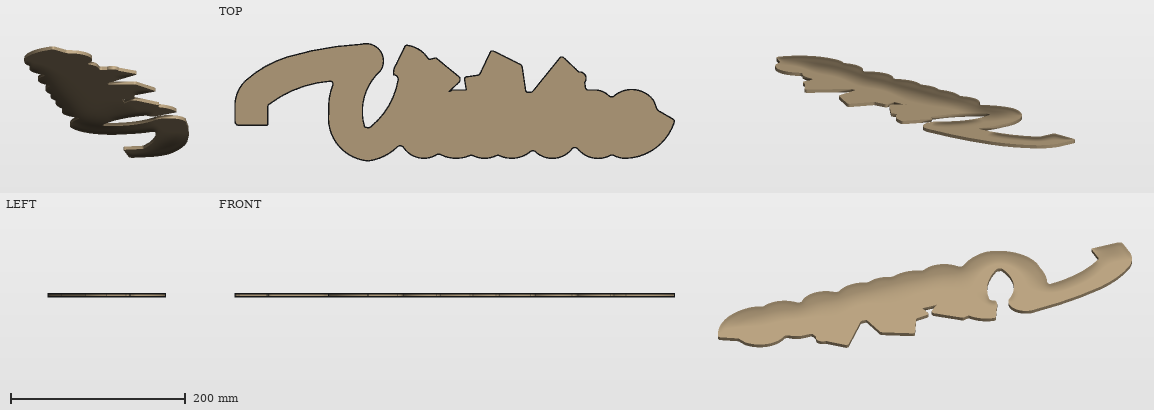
import cadquery as cq

THICKNESS = 3.8

LARGE_ROUND = 4.5
ROUND = 3.0
SMALL_ROUND = 1.5

TAIL_WIDTH = 37.5
TAIL_BASE = 40.5
SCALLOP_BASE = 3.0
SHOULDER = 81.5

corners = []


def round_later(point, radius):
    """Remember an outline corner to be rounded on the finished plate."""
    if radius:
        corners.append((point, radius))


def line(path, end, radius=0):
    """Add a straight stretch, with a rounded corner at its end."""
    round_later(end, radius)
    return path.lineTo(*end)


def arc(path, middle, end, radius=0):
    """Add an arc through a middle point, with a rounded corner at its end."""
    round_later(end, radius)
    return path.threePointArc(middle, end)


def add_hook_underside(path):
    """Square tail end, inner curve of the hook and the round bowl below it."""
    path = line(path, (TAIL_WIDTH, TAIL_BASE), SMALL_ROUND)
    path = line(path, (TAIL_WIDTH, 64.0), ROUND)
    path = arc(path, (70.5, 82.5), (113.5, 91.5), ROUND)
    path = arc(path, (108.5, 76.5), (107.0, 55.5))
    path = arc(path, (119.0, 16.5), (152.5, 0))
    return arc(path, (173.5, 7.0), (190.0, 20.5), LARGE_ROUND)


def add_scallops(path):
    """Lower edge: each lobe is given by its bottom X and its closing cusp."""
    lobes = [
        (215.5, (233.0, 8.5)),
        (251.5, (270.5, 7.0)),
        (285.5, (301.0, 7.0)),
        (316.0, (341.0, 13.5)),
        (360.5, (389.0, 19.0)),
        (412.5, (431.5, 7.5)),
    ]
    for bottom_x, cusp in lobes:
        path = arc(path, (bottom_x, SCALLOP_BASE), cusp, LARGE_ROUND)
    path = arc(path, (439.0, 4.0), (447.5, SCALLOP_BASE))
    return arc(path, (480.5, 14.0), (503.5, 47.0), ROUND)


def add_right_shoulder(path):
    """Pointed tip and the two rounded humps behind it."""
    path = line(path, (483.5, 58.5), ROUND)
    path = line(path, (479.5, 69.0))
    path = arc(path, (455.5, 82.0), (430.5, 71.5), LARGE_ROUND)
    path = arc(path, (418.5, 80.5), (410.0, SHOULDER))
    return line(path, (401.5, SHOULDER), ROUND)


def add_right_peak(path):
    """Peak with a small knob on its right flank."""
    path = line(path, (400.5, 90.0))
    path = arc(path, (401.5, 97.0), (393.5, 102.0))
    path = line(path, (373.5, 120.5), ROUND)
    path = line(path, (340.0, 79.0), ROUND)
    return line(path, (333.0, 79.0), SMALL_ROUND)


def add_middle_peak(path):
    """Blunt peak with a low step on its left side."""
    path = line(path, (328.5, 109.5), LARGE_ROUND)
    path = line(path, (293.0, 127.0), ROUND)
    path = line(path, (279.5, 98.5), ROUND)
    path = line(path, (262.0, 96.0), ROUND)
    path = line(path, (264.5, SHOULDER))
    path = line(path, (248.5, SHOULDER))
    return line(path, (245.0, 79.5))


def add_left_peak(path):
    """Overhanging peak that ends at the slot beside the hook."""
    path = line(path, (260.0, 93.5), LARGE_ROUND)
    path = line(path, (230.0, 118.0), SMALL_ROUND)
    path = line(path, (222.0, 116.0), SMALL_ROUND)
    path = arc(path, (211.0, 127.0), (195.0, 133.0), ROUND)
    path = line(path, (184.0, 110.0))
    return arc(path, (181.5, 104.0), (181.5, 98.5))


def add_slot_and_hook_top(path):
    """Leaf-shaped slot, round head of the hook and its long outer sweep."""
    path = arc(path, (185.0, 97.0), (186.5, 93.0))
    path = arc(path, (177.0, 65.5), (153.5, 37.5), LARGE_ROUND)
    path = line(path, (148.5, 39.0))
    path = arc(path, (148.5, 74.5), (166.5, 103.0))
    path = arc(path, (168.0, 123.0), (145.0, 134.0))
    path = arc(path, (100.5, 129.0), (60.0, 119.0))
    path = arc(path, (30.0, 105.5), (11.5, 91.5))
    path = arc(path, (3.5, 80.0), (0, 67.5))
    round_later((0, TAIL_BASE), LARGE_ROUND)
    return path.close()


outline = cq.Workplane("XY").moveTo(0, TAIL_BASE)
outline = add_hook_underside(outline)
outline = add_scallops(outline)
outline = add_right_shoulder(outline)
outline = add_right_peak(outline)
outline = add_middle_peak(outline)
outline = add_left_peak(outline)
outline = add_slot_and_hook_top(outline)
result = outline.extrude(THICKNESS)

for (corner_x, corner_y), radius in corners:
    corner_edge = cq.selectors.NearestToPointSelector((corner_x, corner_y, THICKNESS / 2))
    result = result.edges("|Z").edges(corner_edge).fillet(radius)